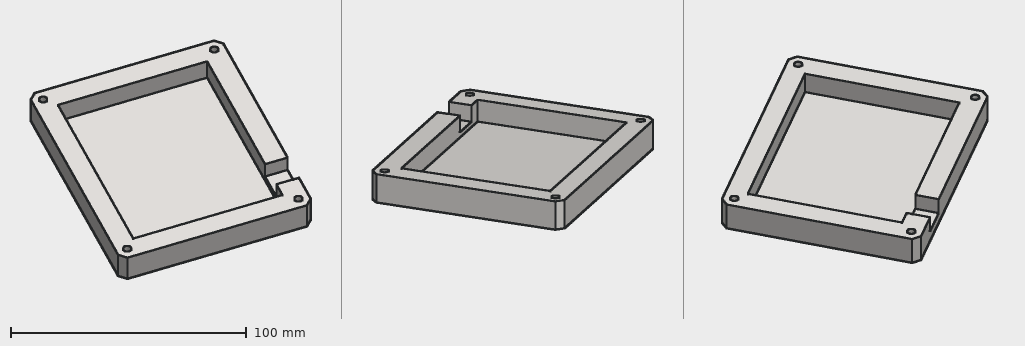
import cadquery as cq

length = 104.8
width = 88.3
height = 13.0
corner_chamfer = 3.0

left_wall = 10.3
right_wall = 9.5
back_wall = 10.4
front_wall = 9.5
pocket_depth = 10.0

notch_width = 12.8
notch_right_margin = 16.4
notch_depth = 7.5

hole_diameter = 3.5
hole_inset = 4.9


def top_cut(x_start, x_end, y_start, y_end, depth):
    """Box reaching down from the top face by the given depth."""
    cutter = cq.Workplane("XY").box(x_end - x_start, y_end - y_start, depth, centered=False)
    return cutter.translate((x_start, y_start, height - depth))


block = cq.Workplane("XY").box(length, width, height, centered=False)
block = block.edges("|Z").chamfer(corner_chamfer)

pocket_back = width - back_wall
pocket = top_cut(left_wall, length - right_wall, front_wall, pocket_back, pocket_depth)

notch_right = length - notch_right_margin
notch = top_cut(notch_right - notch_width, notch_right, pocket_back, width, notch_depth)

hole_centers = [
    (x, y)
    for x in (hole_inset, length - hole_inset)
    for y in (hole_inset, width - hole_inset)
]
holes = cq.Workplane("XY").pushPoints(hole_centers).circle(hole_diameter / 2).extrude(height)

result = block.cut(pocket).cut(notch).cut(holes)